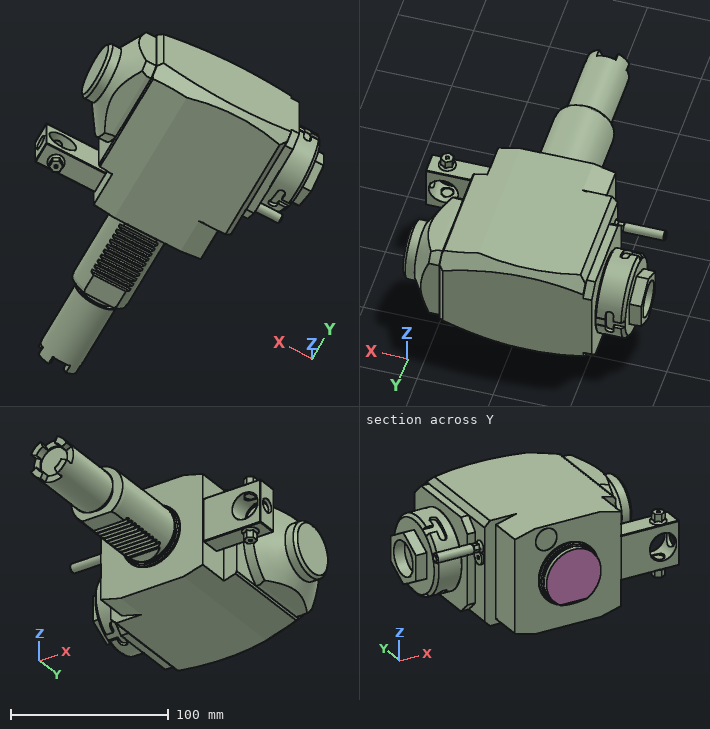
import cadquery as cq
import math


body_height = 75.0
half_height = body_height / 2
body_left = -47.2
body_right = 48.5
body_back = 103.0
flange_depth = 24.0
flange_half_width = 38.8
left_chamfer = 4.0
taper_start = 24.0
taper_slope = math.tan(math.radians(15))
corner_chamfer = 3.0
end_bevel_length = 0.9
crown_radius = 136.0
crown_x = -9.7
crown_peak_y = 99.0
plug_radius = 7.7
plug_x = -15.9
plug_z = 27.8
plug_recess = 0.1

spindle_y = 69.3
plate_left = -53.0
plate_half_height = 33.5
plate_front = 35.7
plate_chamfer = 8.4
nut_left = -72.5
nut_right = -53.8
nut_radius = 27.5
nut_chamfer = 2.2
nut_neck_radius = 26.2
nut_slot_x = -62.6
nut_slot_width = 5.3
nut_slot_span = 39.0
nut_slot_depth = 2.2
nut_entry_width = 5.0
nut_slot_angles = (30.0, 150.0, 270.0)
key_width = 6.2
key_proud = 0.2
key_left = -60.2
hex_left = -80.5
hex_flats = 32.0
hex_bore_radius = 12.1

boss_radius = 37.5
boss_flat_end = 51.5
boss_half_height = 29.5
boss_straight_end = 55.8
boss_back = 99.0
nose_start = 68.1
nose_end = 76.3
nose_radius = 19.5
nose_chamfer = 2.0

pipe_y = 29.5
pipe_z = 17.6
pipe_radius = 3.3
pipe_chamfer = 0.9
pipe_right = -53.2
pipe_bore_radius = 2.2
pipe_bore_depth = 4.5
pipe_neck_flats = 5.3
pipe_foot_left = -49.2
pipe_foot_radius = 4.2
screw_z = 10.4
screw_radius = 4.9
screw_left = -48.7
screw_socket_radius = 1.0

arm_end = 82.0
arm_front = 1.0
arm_back = 16.0
arm_half_height = 15.9
arm_chamfer = 0.5
arm_bore_x = 70.1
arm_bore_radius = 9.7
arm_side_hole_radius = 4.9
nipple_y = 7.3
nipple_hole_radius = 4.0
nipple_hole_reach = 10.4
nipple_base_radius = 5.5
nipple_base_height = 1.5
nipple_height = 6.6
nipple_flats = 7.5
nipple_socket_radius = 1.0
nipple_socket_depth = 2.2

collar_radius = 21.6
collar_length = 2.2
collar_rounding = 0.9
relief_radius = 19.5
relief_end = 3.5
shank_radius = 20.0
shank_end = 62.6
shank_taper_length = 2.6
shank_tip_radius = 19.6
neck_radius = 12.1
neck_end = 66.4
drive_radius = 15.0
drive_chamfer = 0.5
drive_end = 112.0
claw_bore_radius = 10.4
claw_half_gap = math.radians(25)
tip_end = 117.5
claw_bore_extra = 1.0

flat_depth = 16.3
ramp_start = 4.6
tooth_count = 10
tooth_pitch = 4.0
first_groove = 11.7
groove_depth = 1.8
groove_mouth = 3.0
groove_floor = 1.5


def box(x_min, x_max, y_min, y_max, z_min, z_max):
    size = (x_max - x_min, y_max - y_min, z_max - z_min)
    return cq.Workplane("XY").box(*size, centered=False).translate((x_min, y_min, z_min))


def rod_x(x_min, x_max, y, z, radius):
    """Cylinder parallel to X."""
    return cq.Workplane("YZ", origin=(x_min, y, z)).circle(radius).extrude(x_max - x_min)


def rod_y(y_min, y_max, x, z, radius):
    """Cylinder parallel to Y."""
    return cq.Workplane("XZ", origin=(x, y_max, z)).circle(radius).extrude(y_max - y_min)


def revolve_x(profile, y):
    """Turn (x, radius) points about the line parallel to X at the given y, z = 0."""
    return (
        cq.Workplane("XY", origin=(0, y, 0)).polyline(profile).close().revolve(360, (0, 0, 0), (1, 0, 0))
    )


def across_corners(flats):
    return flats / math.cos(math.radians(30))


def taper_height(x):
    """Half height of the housing on its 15 degree taper."""
    return half_height - (x - taper_start) * taper_slope


def extruded_about_mid_plane(upper_profile, y_min, y_max):
    """Extrude along Y an outline made of upper (x, z) points and their mirror images."""
    lower_profile = [(x, -z) for x, z in reversed(upper_profile)]
    outline = cq.Workplane("XZ", origin=(0, y_max, 0)).polyline(upper_profile + lower_profile)
    return outline.close().extrude(y_max - y_min)


def crown_envelope():
    """Two cones about Z, joined at mid height, that bevel the upper and lower back edges."""
    axis_y = crown_peak_y - crown_radius
    waist_radius = crown_radius + half_height
    profile = [
        (0, -half_height),
        (crown_radius, -half_height),
        (waist_radius, 0),
        (crown_radius, half_height),
        (0, half_height),
    ]
    cones = cq.Workplane("XZ").polyline(profile).close().revolve(360, (0, 0, 0), (0, 1, 0))
    return cones.translate((crown_x, axis_y, 0))


def make_housing():
    head = extruded_about_mid_plane(
        [
            (body_left, half_height - left_chamfer),
            (body_left + left_chamfer, half_height),
            (taper_start, half_height),
            (body_right - end_bevel_length, taper_height(body_right - end_bevel_length)),
            (body_right, boss_half_height),
        ],
        flange_depth,
        body_back,
    )
    head = head.edges("|Z and >X and >Y").chamfer(corner_chamfer)
    head = head.intersect(crown_envelope())
    flange = extruded_about_mid_plane(
        [
            (-flange_half_width, taper_height(flange_half_width)),
            (-taper_start, half_height),
            (taper_start, half_height),
            (flange_half_width, taper_height(flange_half_width)),
        ],
        0,
        flange_depth,
    )
    plug_seat = rod_y(0, plug_recess, plug_x, plug_z, plug_radius)
    return head.union(flange).cut(plug_seat)


def make_plate():
    plate = box(plate_left, body_left, plate_front, body_back, -plate_half_height, plate_half_height)
    return plate.edges("|X").chamfer(plate_chamfer)


def nut_slot(angle):
    """L-shaped wrench slot, its middle turned by the angle from +Z toward -Y."""
    floor_radius = nut_radius - nut_slot_depth
    half_width = nut_slot_width / 2
    ring = rod_x(nut_slot_x - half_width, nut_slot_x + half_width, 0, 0, 2 * nut_radius)
    half_span = math.radians(nut_slot_span) / 2 - half_width / nut_radius
    reach = 2 * nut_radius
    side = reach * math.tan(half_span)
    sector = (
        cq.Workplane("YZ", origin=(nut_left, 0, 0))
        .polyline([(0, 0), (side, reach), (-side, reach)])
        .close()
        .extrude(nut_right - nut_left)
    )
    slot = ring.intersect(sector)
    for direction in (-1, 1):
        slot_end = cq.Workplane("XY", origin=(nut_slot_x, 0, 0)).circle(half_width).extrude(reach)
        slot = slot.union(slot_end.rotate((0, 0, 0), (1, 0, 0), direction * math.degrees(half_span)))
    half_entry = nut_entry_width / 2
    slot = slot.union(box(nut_left, nut_slot_x, -half_entry, half_entry, 0, reach))
    slot = slot.cut(rod_x(nut_left, nut_right, 0, 0, floor_radius))
    return slot.rotate((0, 0, 0), (1, 0, 0), angle).translate((0, spindle_y, 0))


def make_nut():
    nut = revolve_x(
        [
            (nut_left, 0),
            (nut_left, nut_radius - nut_chamfer),
            (nut_left + nut_chamfer, nut_radius),
            (nut_right, nut_radius),
            (nut_right, nut_neck_radius),
            (plate_left, nut_neck_radius),
            (plate_left, 0),
        ],
        spindle_y,
    )
    for angle in nut_slot_angles:
        nut = nut.cut(nut_slot(angle))
    key_back = spindle_y + nut_radius + key_proud
    key = box(key_left, nut_right, spindle_y + nut_neck_radius, key_back, -key_width / 2, key_width / 2)
    hexagon = (
        cq.Workplane("YZ", origin=(hex_left, spindle_y, 0))
        .transformed(rotate=(0, 0, 90))
        .polygon(6, across_corners(hex_flats))
        .extrude(nut_left - hex_left)
        .cut(rod_x(hex_left, nut_left, spindle_y, 0, hex_bore_radius))
    )
    return nut.union(key).union(hexagon)


def make_boss():
    barrel = revolve_x(
        [
            (body_right, 0),
            (body_right, boss_radius),
            (boss_straight_end, boss_radius),
            (nose_start, nose_radius),
            (nose_end - nose_chamfer, nose_radius),
            (nose_end, nose_radius - nose_chamfer),
            (nose_end, 0),
        ],
        spindle_y,
    )
    tapered_drop = (nose_end - boss_flat_end) * taper_slope
    envelope = extruded_about_mid_plane(
        [
            (body_right, boss_half_height),
            (boss_flat_end, boss_half_height),
            (nose_end, boss_half_height - tapered_drop),
        ],
        spindle_y - boss_radius,
        boss_back,
    )
    return barrel.intersect(envelope)


def make_coolant_parts():
    pipe = rod_x(hex_left, pipe_right, pipe_y, pipe_z, pipe_radius).faces("<X").chamfer(pipe_chamfer)
    pipe = pipe.cut(rod_x(hex_left, hex_left + pipe_bore_depth, pipe_y, pipe_z, pipe_bore_radius))
    neck = (
        cq.Workplane("YZ", origin=(pipe_right, pipe_y, pipe_z))
        .polygon(6, across_corners(pipe_neck_flats))
        .extrude(body_left - pipe_right)
    )
    foot = (
        cq.Workplane("YZ", origin=(pipe_foot_left, pipe_y, pipe_z))
        .circle(pipe_neck_flats / 2)
        .workplane(offset=body_left - pipe_foot_left)
        .circle(pipe_foot_radius)
        .loft()
    )
    screw = rod_x(screw_left, body_left, pipe_y, screw_z, screw_radius)
    screw = screw.cut(rod_x(screw_left, body_left, pipe_y, screw_z, screw_socket_radius))
    return screw.union(neck).union(foot).union(pipe)


def make_nipple():
    """Hexagon nipple with a conical base, standing on z = 0."""
    base = (
        cq.Workplane("XY")
        .circle(nipple_base_radius)
        .workplane(offset=nipple_base_height)
        .circle(nipple_flats / 2)
        .loft()
    )
    head = (
        cq.Workplane("XY")
        .transformed(rotate=(0, 0, 90))
        .polygon(6, across_corners(nipple_flats))
        .extrude(nipple_height)
    )
    socket = cq.Workplane("XY", origin=(0, 0, nipple_height)).circle(nipple_socket_radius)
    return base.union(head).cut(socket.extrude(-nipple_socket_depth))


def make_arm():
    arm = box(flange_half_width, arm_end, arm_front, arm_back, -arm_half_height, arm_half_height)
    arm = arm.edges("|X or >X").chamfer(arm_chamfer)
    arm = arm.cut(rod_y(arm_front, arm_back, arm_bore_x, 0, arm_bore_radius))
    arm_middle_y = (arm_front + arm_back) / 2
    arm = arm.cut(rod_x(arm_bore_x, arm_end, arm_middle_y, 0, arm_side_hole_radius))
    cross_hole = cq.Workplane("XY", origin=(arm_bore_x, nipple_y, 0)).circle(nipple_hole_radius)
    arm = arm.cut(cross_hole.extrude(nipple_hole_reach, both=True))
    nipple = make_nipple().translate((arm_bore_x, nipple_y, arm_half_height))
    return arm.union(nipple).union(nipple.mirror("XY"))


def shank_teeth_cut():
    """Flat with a 45 degree run-in and a row of trapezoidal grooves across the shank."""
    run_in = shank_radius - flat_depth
    reach = 2 * shank_radius
    flat = (
        cq.Workplane("YZ")
        .polyline(
            [
                (-ramp_start, -shank_radius),
                (-ramp_start - run_in, -flat_depth),
                (-shank_end, -flat_depth),
                (-shank_end, -reach),
                (-ramp_start, -reach),
            ]
        )
        .close()
        .extrude(reach, both=True)
    )
    for index in range(tooth_count):
        groove = (
            cq.Workplane("YZ", origin=(0, -first_groove - index * tooth_pitch, -flat_depth))
            .polyline(
                [
                    (-groove_mouth / 2, 0),
                    (-groove_floor / 2, groove_depth),
                    (groove_floor / 2, groove_depth),
                    (groove_mouth / 2, 0),
                ]
            )
            .close()
            .extrude(reach, both=True)
        )
        flat = flat.union(groove)
    return flat


def claw_gaps():
    """Four wedge-shaped gaps between the drive claws, along the X and Z directions."""
    reach = 2 * drive_radius
    side = reach * math.tan(claw_half_gap)
    wedge = (
        cq.Workplane("XZ", origin=(0, -drive_end, 0))
        .polyline([(0, 0), (side, reach), (-side, reach)])
        .close()
        .extrude(tip_end - drive_end)
    )
    gaps = rod_y(-tip_end, -drive_end + claw_bore_extra, 0, 0, claw_bore_radius)
    for quarter in range(4):
        gaps = gaps.union(wedge.rotate((0, 0, 0), (0, 1, 0), 90 * quarter))
    return gaps


def make_shank():
    profile = [
        (0, 0),
        (collar_radius, 0),
        (collar_radius, -collar_length + collar_rounding),
        (collar_radius - collar_rounding, -collar_length),
        (relief_radius, -collar_length),
        (relief_radius, -relief_end),
        (shank_radius, -relief_end),
        (shank_radius, -shank_end + shank_taper_length),
        (shank_tip_radius, -shank_end),
        (neck_radius, -shank_end),
        (neck_radius, -neck_end),
        (drive_radius - drive_chamfer, -neck_end),
        (drive_radius, -neck_end - drive_chamfer),
        (drive_radius, -tip_end),
        (0, -tip_end),
    ]
    turned = cq.Workplane("XY").polyline(profile).close().revolve(360, (0, 0, 0), (0, 1, 0))
    return turned.cut(shank_teeth_cut()).cut(claw_gaps())


result = make_housing()
for part in (make_plate(), make_nut(), make_boss(), make_coolant_parts(), make_arm(), make_shank()):
    result = result.union(part)